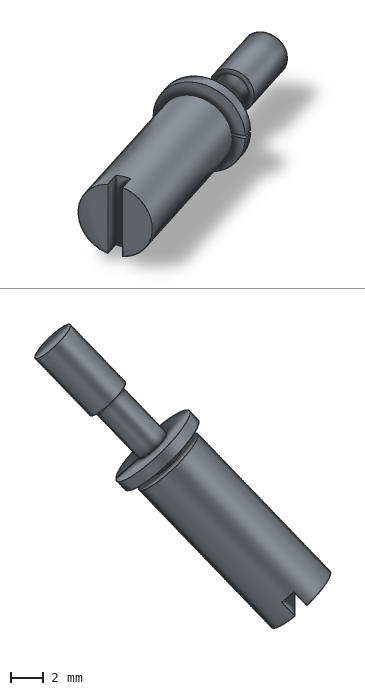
import cadquery as cq

total_length = 22.5
head_diameter = 5.0
head_length = 12.02
neck_diameter = 2.3
tip_diameter = 3.0
tip_length = 5.0
neck_length = total_length - head_length - tip_length

slot_width = 1.0
slot_depth = 1.2

ring_diameter = 6.2
ring_thickness = 0.8
ring_gap = 0.2
head_to_ring = 0.58
ring_start = head_length + head_to_ring


def cylinder_along_y(diameter, start, length):
    """Solid cylinder on the Y axis, growing from start toward +Y."""
    plane = cq.Workplane("XZ", origin=(0, start, 0))
    return plane.circle(diameter / 2).extrude(-length)


def make_screw():
    """Head, neck and tip in one piece, with a driver slot in the head."""
    head = cylinder_along_y(head_diameter, 0, head_length)
    neck = cylinder_along_y(neck_diameter, head_length, neck_length)
    tip = cylinder_along_y(tip_diameter, head_length + neck_length, tip_length)
    slot = cq.Workplane("XY").box(
        slot_width, slot_depth, head_diameter, centered=(True, False, True)
    )
    return head.union(neck).union(tip).cut(slot)


def make_retaining_ring():
    """Flat ring that fits the neck, split on its +X side."""
    disc = cylinder_along_y(ring_diameter, ring_start, ring_thickness)
    bore = cylinder_along_y(neck_diameter, ring_start, ring_thickness)
    gap = (
        cq.Workplane("XY", origin=(0, ring_start, 0))
        .box(ring_diameter / 2, ring_thickness, ring_gap, centered=(False, False, True))
    )
    return disc.cut(bore).cut(gap)


screw = make_screw()
retaining_ring = make_retaining_ring()

result = cq.Compound.makeCompound([screw.val(), retaining_ring.val()])